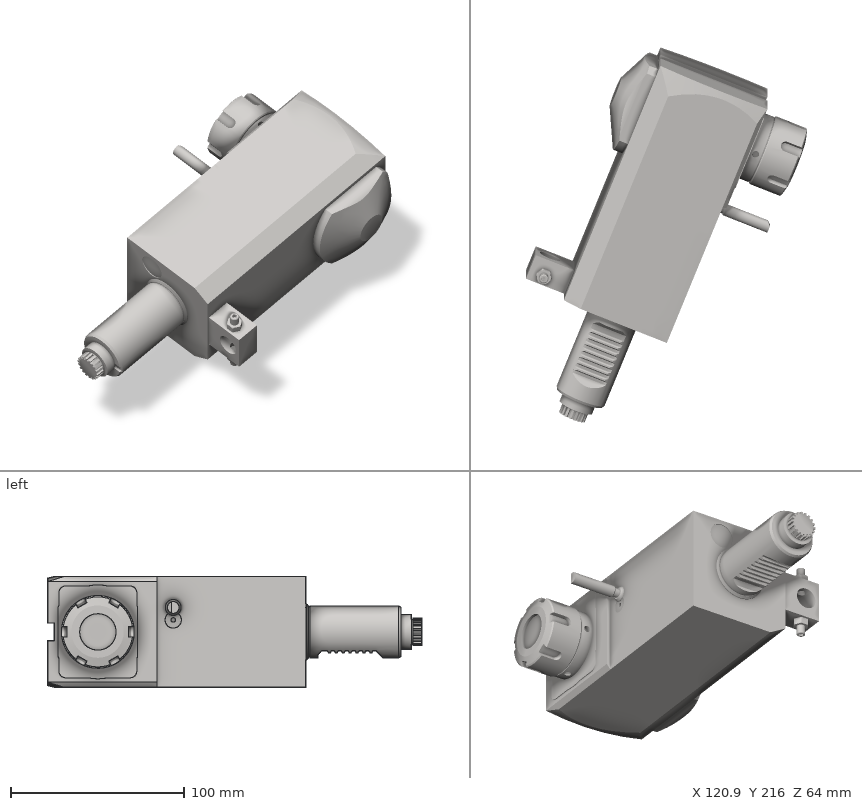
import cadquery as cq
import math

OVERLAP = 0.5

BODY_HALF = 32.0
BODY_LENGTH = 149.0
EDGE_BEVEL_Z = 6.0
EDGE_BEVEL_X = EDGE_BEVEL_Z / math.tan(math.radians(30))
PAD_THICKNESS = 2.5
PAD_BEVEL = 3.0
PAD_START_Y = 86.0
PAD_FACE_X = -BODY_HALF - PAD_THICKNESS
END_CONE_X = -8.9
END_CONE_DROP = 140.0
END_CONE_ANGLE = 15.0
END_SLOT_WIDTH = 10.0
END_SLOT_DEPTH = 4.0
PLUG_X, PLUG_Z = -12.3, 21.6
PLUG_RADIUS = 7.6
PLUG_DEPTH = 0.5

SPINDLE_Y = 120.0
PLATE_THICKNESS = 0.6
PLATE_WIDTH = 45.0
PLATE_HEIGHT = 53.0
PLATE_CORNER = 4.0
PLATE_DISC_RADIUS = 27.1
PLATE_FACE_X = PAD_FACE_X - PLATE_THICKNESS
COLLAR_RADIUS = 20.2
COLLAR_END_X = -42.2
COLLAR_HOLE_X = -38.9
COLLAR_HOLE_RADIUS = 2.0
COLLAR_HOLE_DEPTH = 3.0
GROOVE_RADIUS = 19.4
GROOVE_WIDTH = 0.7
NUT_RADIUS = 21.0
NUT_BACK_X = COLLAR_END_X - GROOVE_WIDTH
NUT_RIM_X = -62.8
NUT_RIM_RADIUS = 20.2
NUT_FACE_X = -64.1
NUT_FACE_RADIUS = 15.1
NUT_CHAMFER = 0.6
NUT_BORE_RADIUS = 10.5
NUT_BORE_DEPTH = 2.0
NUT_SLOT_COUNT = 6
NUT_SLOT_WIDTH = 6.0
NUT_SLOT_END_X = -50.6
NUT_SLOT_FLOOR = 17.8

CAP_RADIUS = 31.5
CAP_RIM_X = 37.3
CAP_END_X = 48.3
CAP_END_RADIUS = 9.1
CAP_HALF_HEIGHT = 23.2
CAP_SIDE_FLAT = 25.3
CAP_ROUND = 6.5
CAP_ROUND_START_X = 38.2

NOZZLE_Y, NOZZLE_Z = 76.5, 14.1
NOZZLE_RADIUS = 3.4
NOZZLE_TIP_X = -64.88
NOZZLE_BACK_X = -37.4
NOZZLE_SHOULDER_X = -36.6
NOZZLE_NECK_RADIUS = 2.6
NOZZLE_FLARE_X = -33.4
NOZZLE_FLARE_START = 3.4
NOZZLE_FLARE_RADIUS = 4.6
NOZZLE_TIP_BEVEL = 2.3
PORT_Z = 6.9
PORT_RADIUS = 4.7
PORT_DEPTH = 0.3
PORT_BORE_RADIUS = 1.3
PORT_BORE_DEPTH = 1.5

BRACKET_START_Y = 1.0
BRACKET_WIDTH = 15.0
BRACKET_END_X = 56.0
BRACKET_HALF_HEIGHT = 12.5
BRACKET_HOLE_X = 47.1
BRACKET_HOLE_RADIUS = 6.4
SCREW_Y = 6.5
SCREW_RADIUS = 2.5
SCREW_TIP_Z = 22.0
SCREW_INNER_Z = 9.0
SCREW_CHAMFER = 0.4
SOCKET_ACROSS_FLATS = 2.5
SOCKET_DEPTH = 2.5
HEX_ACROSS_FLATS = 8.0
HEX_THICKNESS = 4.0
HEX_CHAMFER = 0.5

FLANGE_RADIUS = 16.2
FLANGE_RIM = 0.5
FLANGE_THICKNESS = 1.5
SHANK_RADIUS = 15.0
RELIEF_RADIUS = 14.6
RELIEF_WIDTH = 1.0
SHANK_END = 55.0
SHANK_CHAMFER = 0.8
SHANK_CHAMFER_LENGTH = 1.5
STEP_RADIUS = 10.1
STEP_END = 61.0
SPLINE_NECK_RADIUS = 7.2
SPLINE_START = 61.8
SPLINE_END = 67.0
SPLINE_ROOT_RADIUS = 6.7
SPLINE_TIP_RADIUS = 8.0
SPLINE_TEETH = 18
SPLINE_TOOTH_FILL = 0.5
RACK_START = 7.0
RACK_LIP_Z = -13.2
RACK_ROOT_Z = -10.9
RACK_TIP_Z = -12.2
RACK_FIRST_TIP = 13.6
RACK_PITCH = 4.0
RACK_TEETH = 7
RACK_TIP_WIDTH = 0.9
RACK_FOOT_WIDTH = 2.4
RACK_LEAD_IN = 2.2
RACK_FLOOR_END = 40.5
RACK_END = 44.5
NOTCH_WIDTH = 4.6
NOTCH_DEPTH = 1.5
NOTCH_INNER_X = 9.4


def x_cylinder(radius, x_start, x_end, y, z):
    """Cylinder along X between two X positions."""
    length = x_end - x_start
    return cq.Workplane("YZ", origin=(x_start, y, z)).circle(radius).extrude(length)


def x_revolve(profile, y, z):
    """Solid of revolution about an X axis; the profile is (x, radius) points."""
    flat = cq.Workplane("XY", origin=(0, y, z)).polyline(profile).close()
    return flat.revolve(360, (0, 0, 0), (1, 0, 0))


def end_cone(side):
    """Large cone that rounds the +Y end of the housing above (+1) or below (-1)."""
    end_radius = math.hypot(
        BODY_HALF - END_CONE_X, BODY_HALF - EDGE_BEVEL_Z + END_CONE_DROP
    )
    growth = BODY_LENGTH * math.tan(math.radians(END_CONE_ANGLE))
    return cq.Workplane(
        cq.Solid.makeCone(
            end_radius + growth,
            end_radius,
            BODY_LENGTH,
            pnt=cq.Vector(END_CONE_X, 0, -side * END_CONE_DROP),
            dir=cq.Vector(0, 1, 0),
        )
    )


def housing():
    bevel_x = BODY_HALF - EDGE_BEVEL_X
    bevel_z = BODY_HALF - EDGE_BEVEL_Z
    section = [
        (-BODY_HALF, -BODY_HALF),
        (bevel_x, -BODY_HALF),
        (BODY_HALF, -bevel_z),
        (BODY_HALF, bevel_z),
        (bevel_x, BODY_HALF),
        (-BODY_HALF, BODY_HALF),
    ]
    body = cq.Workplane("XZ").polyline(section).close().extrude(-BODY_LENGTH)
    pad_section = [
        (-BODY_HALF, -BODY_HALF),
        (-BODY_HALF, BODY_HALF),
        (PAD_FACE_X, BODY_HALF - PAD_BEVEL),
        (PAD_FACE_X, PAD_BEVEL - BODY_HALF),
    ]
    pad_plane = cq.Workplane("XZ", origin=(0, PAD_START_Y, 0))
    pad = pad_plane.polyline(pad_section).close().extrude(PAD_START_Y - BODY_LENGTH)
    body = body.union(pad).intersect(end_cone(1)).intersect(end_cone(-1))

    slot = cq.Workplane("XY").box(4 * BODY_HALF, 2 * END_SLOT_DEPTH, END_SLOT_WIDTH)
    body = body.cut(slot.translate((0, BODY_LENGTH, 0)))
    plug = cq.Workplane("XZ", origin=(PLUG_X, 0, PLUG_Z)).circle(PLUG_RADIUS).extrude(-PLUG_DEPTH)
    return body.cut(plug)


def nose_plate():
    """Thin plate on the pad: a rounded rectangle whose disc bulges past its edges."""
    plane = cq.Workplane("YZ", origin=(PLATE_FACE_X, SPINDLE_Y, 0))
    depth = PLATE_THICKNESS + OVERLAP
    plate = plane.rect(PLATE_WIDTH, PLATE_HEIGHT).extrude(depth).edges("|X").fillet(PLATE_CORNER)
    limit = plane.rect(PLATE_WIDTH + 2 * OVERLAP, 2 * PLATE_DISC_RADIUS).extrude(depth)
    return plate.union(plane.circle(PLATE_DISC_RADIUS).extrude(depth).intersect(limit))


def nut_slot(index):
    """Spanner slot, open at the nut face and rounded at its inner end."""
    end_center = NUT_SLOT_END_X - NUT_SLOT_WIDTH / 2
    length = end_center - NUT_FACE_X + OVERLAP
    depth = NUT_RADIUS - NUT_SLOT_FLOOR + OVERLAP
    plane = cq.Workplane("XY", origin=(end_center, 0, NUT_SLOT_FLOOR))
    slot = plane.center(-length / 2, 0).rect(length, NUT_SLOT_WIDTH).extrude(depth)
    slot = slot.union(plane.circle(NUT_SLOT_WIDTH / 2).extrude(depth))
    angle = 90 + index * 360 / NUT_SLOT_COUNT
    return slot.rotate((0, 0, 0), (1, 0, 0), angle).translate((0, SPINDLE_Y, 0))


def spindle_nose():
    bore_floor_x = NUT_FACE_X + NUT_BORE_DEPTH
    profile = [
        (PLATE_FACE_X + OVERLAP, 0),
        (PLATE_FACE_X + OVERLAP, COLLAR_RADIUS),
        (COLLAR_END_X, COLLAR_RADIUS),
        (COLLAR_END_X, GROOVE_RADIUS),
        (NUT_BACK_X, GROOVE_RADIUS),
        (NUT_BACK_X, NUT_RADIUS - NUT_CHAMFER),
        (NUT_BACK_X - NUT_CHAMFER, NUT_RADIUS),
        (NUT_RIM_X + NUT_CHAMFER, NUT_RADIUS),
        (NUT_RIM_X, NUT_RIM_RADIUS),
        (NUT_FACE_X, NUT_FACE_RADIUS),
        (NUT_FACE_X, NUT_BORE_RADIUS),
        (bore_floor_x, NUT_BORE_RADIUS),
        (bore_floor_x, 0),
    ]
    nose = x_revolve(profile, SPINDLE_Y, 0)
    for index in range(NUT_SLOT_COUNT):
        nose = nose.cut(nut_slot(index))
    for angle in range(0, 360, 90):
        hole = cq.Workplane("XY", origin=(COLLAR_HOLE_X, 0, COLLAR_RADIUS - COLLAR_HOLE_DEPTH))
        hole = hole.circle(COLLAR_HOLE_RADIUS).extrude(2 * COLLAR_HOLE_DEPTH)
        hole = hole.rotate((0, 0, 0), (1, 0, 0), angle)
        nose = nose.cut(hole.translate((0, SPINDLE_Y, 0)))
    return nose


def rear_cap():
    """Conical cap, flattened above, below and on its +Y side."""
    inner_x = BODY_HALF - OVERLAP
    profile = [
        (inner_x, 0),
        (inner_x, CAP_RADIUS),
        (CAP_RIM_X, CAP_RADIUS),
        (CAP_END_X, CAP_END_RADIUS),
        (CAP_END_X, 0),
    ]
    cap = x_revolve(profile, SPINDLE_Y, 0)
    envelope_length = CAP_ROUND_START_X + CAP_ROUND - inner_x
    envelope_depth = CAP_RADIUS + CAP_SIDE_FLAT
    envelope = cq.Workplane("XY").box(
        envelope_length, envelope_depth, 2 * CAP_HALF_HEIGHT, centered=(False, False, True)
    )
    envelope = envelope.edges("|Y and >X").fillet(CAP_ROUND)
    tip = cq.Workplane("XY").box(
        CAP_END_X - inner_x,
        envelope_depth,
        2 * (CAP_HALF_HEIGHT - CAP_ROUND),
        centered=(False, False, True),
    )
    envelope = envelope.union(tip).translate((inner_x, SPINDLE_Y - CAP_RADIUS, 0))
    return cap.intersect(envelope)


def nozzle():
    root_x = -BODY_HALF + OVERLAP
    profile = [
        (root_x, 0),
        (root_x, NOZZLE_FLARE_RADIUS),
        (-BODY_HALF, NOZZLE_FLARE_RADIUS),
        (NOZZLE_FLARE_X, NOZZLE_FLARE_START),
        (NOZZLE_FLARE_X, NOZZLE_NECK_RADIUS),
        (NOZZLE_SHOULDER_X, NOZZLE_NECK_RADIUS),
        (NOZZLE_BACK_X, NOZZLE_RADIUS),
        (NOZZLE_TIP_X, NOZZLE_RADIUS),
        (NOZZLE_TIP_X, 0),
    ]
    tube = x_revolve(profile, NOZZLE_Y, NOZZLE_Z)
    side_y = NOZZLE_Y + NOZZLE_RADIUS
    bevel = (
        cq.Workplane("XY", origin=(0, 0, NOZZLE_Z))
        .polyline(
            [
                (NOZZLE_TIP_X, side_y),
                (NOZZLE_TIP_X + NOZZLE_TIP_BEVEL, side_y),
                (NOZZLE_TIP_X, side_y - NOZZLE_TIP_BEVEL),
            ]
        )
        .close()
        .extrude(NOZZLE_RADIUS, both=True)
    )
    return tube.cut(bevel)


def coolant_port():
    """Shallow round recess with a small bore, beside the nozzle."""
    recess = x_cylinder(PORT_RADIUS, -BODY_HALF, PORT_DEPTH - BODY_HALF, NOZZLE_Y, PORT_Z)
    bore = x_cylinder(PORT_BORE_RADIUS, -BODY_HALF, PORT_BORE_DEPTH - BODY_HALF, NOZZLE_Y, PORT_Z)
    return recess.union(bore)


def clamp_screw():
    """Upper set screw with its hexagon nut."""
    origin = (BRACKET_HOLE_X, SCREW_Y, SCREW_INNER_Z)
    rod = cq.Workplane("XY", origin=origin).circle(SCREW_RADIUS).extrude(SCREW_TIP_Z - SCREW_INNER_Z)
    rod = rod.faces(">Z").chamfer(SCREW_CHAMFER)
    corner_factor = 1 / math.cos(math.pi / 6)
    top = cq.Workplane("XY", origin=(BRACKET_HOLE_X, SCREW_Y, SCREW_TIP_Z))
    rod = rod.cut(top.polygon(6, SOCKET_ACROSS_FLATS * corner_factor).extrude(-SOCKET_DEPTH))
    seat = cq.Workplane("XY", origin=(BRACKET_HOLE_X, SCREW_Y, BRACKET_HALF_HEIGHT - OVERLAP))
    corner_diameter = HEX_ACROSS_FLATS * corner_factor
    hex_height = HEX_THICKNESS + OVERLAP
    hex_nut = seat.polygon(6, corner_diameter).extrude(hex_height)
    chamfer_disc = seat.circle(corner_diameter / 2).extrude(hex_height)
    hex_nut = hex_nut.intersect(chamfer_disc.faces(">Z").chamfer(HEX_CHAMFER))
    return rod.union(hex_nut)


def bracket():
    inner_x = BODY_HALF - OVERLAP
    block = cq.Workplane("XY").box(
        BRACKET_END_X - inner_x, BRACKET_WIDTH, 2 * BRACKET_HALF_HEIGHT, centered=(False, False, True)
    )
    block = block.translate((inner_x, BRACKET_START_Y, 0))
    cross_hole = cq.Workplane("XZ", origin=(BRACKET_HOLE_X, BRACKET_START_Y, 0))
    block = block.cut(cross_hole.circle(BRACKET_HOLE_RADIUS).extrude(-BRACKET_WIDTH))
    screw_hole = cq.Workplane("XY", origin=(BRACKET_HOLE_X, SCREW_Y, 0))
    block = block.cut(screw_hole.circle(SCREW_RADIUS).extrude(SCREW_INNER_Z + OVERLAP, both=True))
    screw = clamp_screw()
    return block.union(screw).union(screw.mirror("XY"))


def spline():
    """Toothed drive end of straight-sided teeth between root and tip circles."""
    tooth_angle = 2 * math.pi / SPLINE_TEETH
    half_fill = tooth_angle * SPLINE_TOOTH_FILL / 2
    points = []
    for tooth in range(SPLINE_TEETH):
        center = tooth * tooth_angle
        for radius, side in (
            (SPLINE_ROOT_RADIUS, -1),
            (SPLINE_TIP_RADIUS, -1),
            (SPLINE_TIP_RADIUS, 1),
            (SPLINE_ROOT_RADIUS, 1),
        ):
            angle = center + side * half_fill
            points.append((radius * math.cos(angle), radius * math.sin(angle)))
    plane = cq.Workplane("XZ", origin=(0, -SPLINE_START, 0))
    return plane.polyline(points).close().extrude(SPLINE_END - SPLINE_START)


def rack_cut():
    """Clearance under the shank, leaving the clamping teeth on its flat."""
    below = -SHANK_RADIUS - OVERLAP
    points = [
        (-RACK_START, below),
        (-RACK_START, RACK_LIP_Z),
        (-RACK_START - RACK_LEAD_IN, RACK_ROOT_Z),
    ]
    for tooth in range(RACK_TEETH):
        center = -RACK_FIRST_TIP - tooth * RACK_PITCH
        points += [
            (center + RACK_FOOT_WIDTH / 2, RACK_ROOT_Z),
            (center + RACK_TIP_WIDTH / 2, RACK_TIP_Z),
            (center - RACK_TIP_WIDTH / 2, RACK_TIP_Z),
            (center - RACK_FOOT_WIDTH / 2, RACK_ROOT_Z),
        ]
    points += [(-RACK_FLOOR_END, RACK_ROOT_Z), (-RACK_END, -SHANK_RADIUS), (-RACK_END, below)]
    return cq.Workplane("YZ").polyline(points).close().extrude(SHANK_RADIUS, both=True)


def shank():
    profile = [
        (0, OVERLAP),
        (FLANGE_RADIUS, OVERLAP),
        (FLANGE_RADIUS, -FLANGE_RIM),
        (SHANK_RADIUS, -FLANGE_THICKNESS),
        (RELIEF_RADIUS, -FLANGE_THICKNESS),
        (RELIEF_RADIUS, -FLANGE_THICKNESS - RELIEF_WIDTH),
        (SHANK_RADIUS, -FLANGE_THICKNESS - RELIEF_WIDTH),
        (SHANK_RADIUS, SHANK_CHAMFER_LENGTH - SHANK_END),
        (SHANK_RADIUS - SHANK_CHAMFER, -SHANK_END),
        (STEP_RADIUS, -SHANK_END),
        (STEP_RADIUS, -STEP_END),
        (SPLINE_NECK_RADIUS, -STEP_END),
        (SPLINE_NECK_RADIUS, -SPLINE_START),
        (0, -SPLINE_START),
    ]
    turned = cq.Workplane("XY").polyline(profile).close().revolve(360, (0, 0, 0), (0, 1, 0))
    notch = cq.Workplane("XY").box(
        SHANK_RADIUS, NOTCH_DEPTH, NOTCH_WIDTH, centered=(False, False, True)
    )
    notch = notch.translate((NOTCH_INNER_X, -SHANK_END, 0))
    return turned.cut(rack_cut()).cut(notch).union(spline())


result = housing().cut(coolant_port())
for piece in (nose_plate(), spindle_nose(), rear_cap(), nozzle(), bracket(), shank()):
    result = result.union(piece)